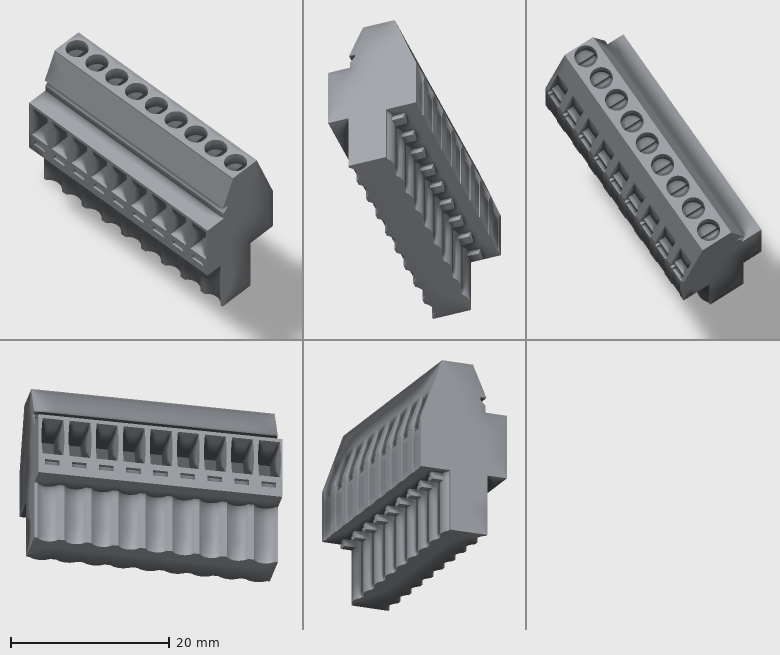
import cadquery as cq

LENGTH = 31.5
POLE_COUNT = 9
PITCH = LENGTH / POLE_COUNT
POLE_CENTERS = [(i - (POLE_COUNT - 1) / 2) * PITCH for i in range(POLE_COUNT)]

DEPTH = 11.85
HEIGHT = 22.6
BODY_BOTTOM_Z = 7.97
SHELF_Z = 16.38
BACK_SLOPE_FOOT_Z = 14.62
RIDGE_FRONT_Y = 4.6
RIDGE_BACK_Y = 8.95
RIDGE_LIP_HEIGHT = 0.2
EAVE_Y = 2.8
EAVE_Z = 18.35
UPPER_WALL_Y = 2.93
LATCH_GROOVE_Y = 3.62
LATCH_GROOVE_FLOOR_Z = 18.0
LATCH_BEVEL = LATCH_GROOVE_Y - UPPER_WALL_Y

PLUG_FRONT_Y = 2.7
PLUG_BACK_Y = 7.8
SCALLOP_WIDTH = 2.75
FLUTE_DEPTH = 0.72
RIB_DEPTH = 0.5

TAB_BACK_Y = 9.75
TAB_HEIGHT = 1.0
TAB_WEB_WIDTH = 0.63
TAB_FOOT_WIDTH = 1.25
TAB_FOOT_HEIGHT = TAB_HEIGHT / 2

TERMINAL_OFFSET_X = 0.1
ENTRY_BOTTOM_Z = 10.77
ENTRY_HEIGHT = 5.1
ENTRY_END_WIDTH = 2.7
ENTRY_MID_WIDTH = 2.95
ENTRY_DEPTH = 6.3
SLOT_WIDTH = 1.9
SLOT_HEIGHT = 0.75
SLOT_BOTTOM_Z = 9.2
SLOT_DEPTH = 0.5

POCKET_WIDTH = 2.5
POCKET_DEPTH = 1.5
POCKET_FLOOR_Z = BACK_SLOPE_FOOT_Z
POCKET_STEP_DEPTH = 0.6
POCKET_STEP_DROP = 0.63
KEYWAY_WIDTH = 1.83
KEYWAY_DROP = 0.63
KEYWAY_RELIEF = 0.1

SCREW_DIAMETER = 2.93
SCREW_Y = 6.8
SCREW_RECESS = 1.8
SCREW_LENGTH = 2.52
DRIVE_SLOT_WIDTH = 0.38
DRIVE_SLOT_DEPTH = 0.63
SCREW_TOP_Z = HEIGHT - SCREW_RECESS
SCREW_BOTTOM_Z = SCREW_TOP_Z - SCREW_LENGTH


def box_between(x_center, width, y_range, z_range):
    """Box centred on x_center in X, spanning the given Y and Z ranges."""
    y_min, y_max = y_range
    z_min, z_max = z_range
    box = cq.Workplane("XY").box(width, y_max - y_min, z_max - z_min, centered=(True, False, False))
    return box.translate((x_center, y_min, z_min))


def make_shell():
    """Side profile of the upper body, extruded along the row."""
    profile = [
        (0, BODY_BOTTOM_Z),
        (DEPTH, BODY_BOTTOM_Z),
        (DEPTH, BACK_SLOPE_FOOT_Z),
        (RIDGE_BACK_Y, HEIGHT),
        (RIDGE_FRONT_Y, HEIGHT),
        (RIDGE_FRONT_Y, HEIGHT - RIDGE_LIP_HEIGHT),
        (EAVE_Y, EAVE_Z),
        (LATCH_GROOVE_Y, EAVE_Z),
        (LATCH_GROOVE_Y, LATCH_GROOVE_FLOOR_Z),
        (UPPER_WALL_Y, LATCH_GROOVE_FLOOR_Z - LATCH_BEVEL),
        (UPPER_WALL_Y, SHELF_Z),
        (0, SHELF_Z),
    ]
    return cq.Workplane("YZ").polyline(profile).close().extrude(LENGTH / 2, both=True)


def make_plug():
    """Plug with a concave front flute and a convex back rib at each pole."""
    half_width = SCALLOP_WIDTH / 2
    outline = cq.Workplane("XY").moveTo(-LENGTH / 2, PLUG_FRONT_Y)
    for x in POLE_CENTERS:
        outline = outline.lineTo(x - half_width, PLUG_FRONT_Y)
        outline = outline.threePointArc((x, PLUG_FRONT_Y + FLUTE_DEPTH), (x + half_width, PLUG_FRONT_Y))
    outline = outline.lineTo(LENGTH / 2, PLUG_FRONT_Y).lineTo(LENGTH / 2, PLUG_BACK_Y)
    for x in reversed(POLE_CENTERS):
        outline = outline.lineTo(x + half_width, PLUG_BACK_Y)
        outline = outline.threePointArc((x, PLUG_BACK_Y + RIB_DEPTH), (x - half_width, PLUG_BACK_Y))
    return outline.lineTo(-LENGTH / 2, PLUG_BACK_Y).close().extrude(BODY_BOTTOM_Z)


def make_coding_tab(x):
    """T-shaped tab hanging under the body and joining the back rib of the plug."""
    y_range = (PLUG_BACK_Y, TAB_BACK_Y)
    foot_bottom_z = BODY_BOTTOM_Z - TAB_HEIGHT
    web = box_between(x, TAB_WEB_WIDTH, y_range, (foot_bottom_z, BODY_BOTTOM_Z))
    foot = box_between(x, TAB_FOOT_WIDTH, y_range, (foot_bottom_z, foot_bottom_z + TAB_FOOT_HEIGHT))
    return web.union(foot)


def make_wire_entry(x):
    """Barrel-shaped blind opening running back from the front face."""
    half_end = ENTRY_END_WIDTH / 2
    half_mid = ENTRY_MID_WIDTH / 2
    mid_z = ENTRY_BOTTOM_Z + ENTRY_HEIGHT / 2
    top_z = ENTRY_BOTTOM_Z + ENTRY_HEIGHT
    return (
        cq.Workplane("XZ")
        .moveTo(x - half_end, ENTRY_BOTTOM_Z)
        .lineTo(x + half_end, ENTRY_BOTTOM_Z)
        .threePointArc((x + half_mid, mid_z), (x + half_end, top_z))
        .lineTo(x - half_end, top_z)
        .threePointArc((x - half_mid, mid_z), (x - half_end, ENTRY_BOTTOM_Z))
        .close()
        .extrude(-ENTRY_DEPTH)
    )


def make_test_slot(x):
    """Shallow slot below a wire entry."""
    return box_between(x, SLOT_WIDTH, (0, SLOT_DEPTH), (SLOT_BOTTOM_Z, SLOT_BOTTOM_Z + SLOT_HEIGHT))


def make_marker_pocket(x):
    """Stepped pocket in the back slope, with a keyway and a thin relief down the back face."""
    step_z = POCKET_FLOOR_Z - POCKET_STEP_DROP
    keyway_z = step_z - KEYWAY_DROP
    step_y = DEPTH - POCKET_STEP_DEPTH
    pocket = box_between(x, POCKET_WIDTH, (DEPTH - POCKET_DEPTH, DEPTH), (POCKET_FLOOR_Z, HEIGHT))
    step = box_between(x, POCKET_WIDTH, (step_y, DEPTH), (step_z, HEIGHT))
    keyway = box_between(x, KEYWAY_WIDTH, (step_y, DEPTH), (keyway_z, HEIGHT))
    relief = box_between(x, KEYWAY_WIDTH, (DEPTH - KEYWAY_RELIEF, DEPTH), (BODY_BOTTOM_Z, HEIGHT))
    return pocket.union(step).union(keyway).union(relief)


def make_screw_blank(x, top_z):
    """Cylinder on a pole's screw axis, from the bottom of the screw up to top_z."""
    blank = cq.Workplane("XY").circle(SCREW_DIAMETER / 2).extrude(top_z - SCREW_BOTTOM_Z)
    return blank.translate((x, SCREW_Y, SCREW_BOTTOM_Z))


def make_screw(x):
    """Screw with a straight drive slot running front to back."""
    radius = SCREW_DIAMETER / 2
    drive_slot = box_between(
        x,
        DRIVE_SLOT_WIDTH,
        (SCREW_Y - radius, SCREW_Y + radius),
        (SCREW_TOP_Z - DRIVE_SLOT_DEPTH, SCREW_TOP_Z),
    )
    return make_screw_blank(x, SCREW_TOP_Z).cut(drive_slot)


def make_housing():
    """One-piece housing with all pole features."""
    housing = make_shell().union(make_plug())
    for x in POLE_CENTERS:
        housing = housing.union(make_coding_tab(x))
        housing = housing.cut(make_wire_entry(x + TERMINAL_OFFSET_X))
        housing = housing.cut(make_test_slot(x))
        housing = housing.cut(make_marker_pocket(x))
        housing = housing.cut(make_screw_blank(x + TERMINAL_OFFSET_X, HEIGHT))
    return housing


housing = make_housing()
screws = [make_screw(x + TERMINAL_OFFSET_X) for x in POLE_CENTERS]

result = cq.Compound.makeCompound([housing.val(), *[screw.val() for screw in screws]])